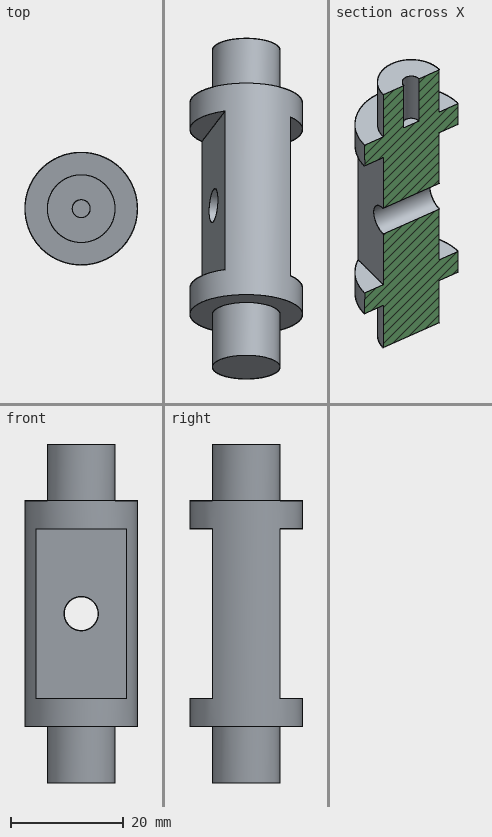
import cadquery as cq

total_length = 60.0
pin_diameter = 12.0
body_diameter = 20.0
body_length = 40.0

flat_length = 30.0
across_flats = pin_diameter

cross_hole_diameter = 6.0
end_hole_diameter = 3.2
end_hole_depth = (total_length - body_length) / 2


def centred_cylinder(diameter, length):
    """Cylinder along Z, centred on the origin."""
    return cq.Workplane("XY").circle(diameter / 2).extrude(length / 2, both=True)


def flat_cutter(side):
    """Block that removes the body beyond the flat on the given Y side (-1 or +1)."""
    cutter_depth = body_diameter / 2
    centre_y = side * (across_flats + cutter_depth) / 2
    return cq.Workplane("XY").box(body_diameter, cutter_depth, flat_length).translate((0, centre_y, 0))


result = centred_cylinder(body_diameter, body_length).union(centred_cylinder(pin_diameter, total_length))

for side in (-1, 1):
    result = result.cut(flat_cutter(side))

cross_hole = cq.Workplane("XZ").circle(cross_hole_diameter / 2).extrude(body_diameter / 2, both=True)
result = result.cut(cross_hole)

result = result.faces(">Z").workplane().hole(end_hole_diameter, end_hole_depth)